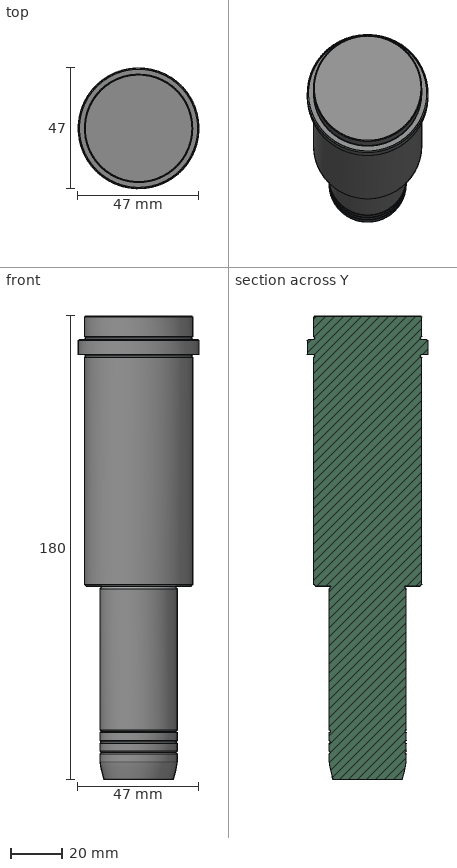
import cadquery as cq

total_height = 180.0
body_radius = 21.0
collar_radius = 23.49
pin_radius = 15.03

body_bottom = 75.0
body_chamfer = 0.7
body_top_chamfer = 0.4
collar_bottom = 165.0
collar_height = 6.0
collar_top = collar_bottom + collar_height
collar_chamfer = 0.5

relief_depth = 0.5

neck_height = 1.0
neck_depth = 0.7

lowest_ring_height = 10.5
ring_pitch = 4.1
ring_count = 3
ring_depth = 0.5

tip_height = 6.8
tip_radius = 13.5
tip_bulge = 0.2
tip_edge_radius = 0.4


def cylinder(radius, bottom, top):
    """Solid cylinder on the Z axis between two heights."""
    return cq.Workplane("XY").workplane(offset=bottom).circle(radius).extrude(top - bottom)


def groove(radius, center_height, depth):
    """Ring-shaped cutter for a 90 degree V groove in a cylinder."""
    return (
        cq.Workplane("XZ")
        .moveTo(radius - depth, center_height)
        .lineTo(radius + depth, center_height + 2 * depth)
        .lineTo(radius + depth, center_height - 2 * depth)
        .close()
        .revolve(360, (0, 0), (0, 1))
    )


def make_pin():
    """Pin with a round-edged convex tapered tip, ring grooves and a conical neck."""
    neck_bottom = body_bottom - neck_height
    pin = (
        cq.Workplane("XZ")
        .lineTo(tip_radius, 0)
        .threePointArc(
            ((tip_radius + pin_radius) / 2 + tip_bulge, tip_height / 2),
            (pin_radius, tip_height),
        )
        .lineTo(pin_radius, neck_bottom)
        .lineTo(pin_radius - neck_depth, body_bottom)
        .lineTo(0, body_bottom)
        .close()
        .revolve(360, (0, 0), (0, 1))
        .faces("<Z")
        .edges()
        .fillet(tip_edge_radius)
    )
    for index in range(ring_count):
        height = lowest_ring_height + index * ring_pitch
        pin = pin.cut(groove(pin_radius, height, ring_depth))
    return pin


def make_body():
    """Main cylinder with chamfered ends and two relief grooves."""
    body = (
        cylinder(body_radius, body_bottom, total_height)
        .faces("<Z")
        .chamfer(body_chamfer)
        .faces(">Z")
        .chamfer(body_top_chamfer)
    )
    for height in (collar_bottom - relief_depth, collar_top + relief_depth):
        body = body.cut(groove(body_radius, height, relief_depth))
    return body


def make_collar():
    """Collar with a chamfered upper edge."""
    return cylinder(collar_radius, collar_bottom, collar_top).faces(">Z").chamfer(collar_chamfer)


result = make_body().union(make_collar()).union(make_pin())